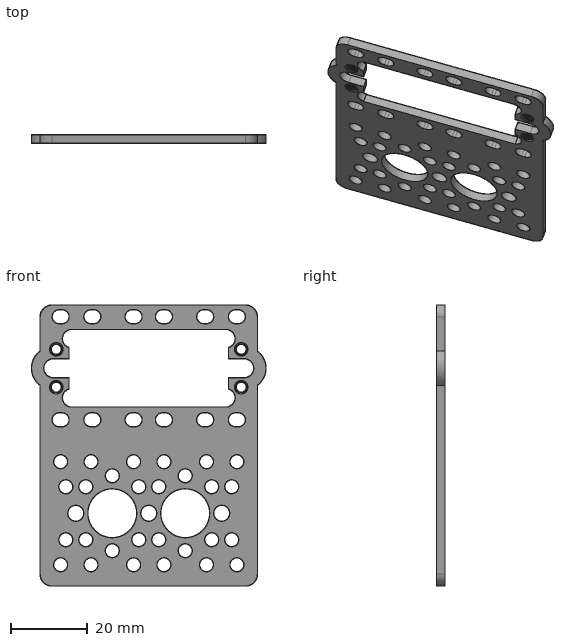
import cadquery as cq
import math

INCH = 25.4

THICKNESS = 0.09 * INCH
PLATE_WIDTH = 56.82
PLATE_HEIGHT = 73.47
CORNER_RADIUS = 0.125 * INCH

OVERALL_WIDTH = 61.3
SERVO_Z = 20.19
WINDOW_WIDTH = 41.64
WINDOW_HEIGHT = 20.18
RELIEF_RADIUS = 3 / 32 * INCH
RELIEF_SPAN = 40.3
NOTCH_SPAN = 54.74
NOTCH_WIDTH = 4.9
EAR_RADIUS = 7 / 32 * INCH

SCREW_X = 24.15
SCREW_OFFSET_Z = 4.95
THREAD_MAJOR = 3.505
THREAD_MINOR = 2.65
THREAD_PITCH = INCH / 32
THREAD_FLANK_ANGLE = math.radians(30)
THREAD_START_ANGLE = 25
THREAD_OVERRUN = 0.5
COUNTERSINK_DEPTH = 0.25

HUB_Z = -17.68
PITCH = 0.75 * INCH
BORE_DIAMETER = 0.5 * INCH
PIVOT_DIAMETER = 4.1
HOLE_DIAMETER = 3.57
BOLT_CIRCLE_RADIUS = 0.385 * INCH

ROW_OFFSET_Z = 13.46
COLUMN_OFFSET = 5 / 32 * INCH
SLOT_LENGTH = 4.38
SLOT_INNER_X = 14.73


def cutter(sketch):
    """Extrude a sketch through the whole thickness."""
    return sketch.extrude(THICKNESS / 2, both=True)


def plane():
    return cq.Workplane("XZ")


def mirrored(values):
    return [side * value for value in values for side in (-1, 1)]


def grid(x_values, z_values):
    return [(x, z) for x in x_values for z in z_values]


def round_holes(points, diameter):
    return cutter(plane().pushPoints(points).circle(diameter / 2))


def make_plate():
    body = cutter(plane().rect(PLATE_WIDTH, PLATE_HEIGHT)).edges("|Y").fillet(CORNER_RADIUS)
    ear_x = OVERALL_WIDTH / 2 - EAR_RADIUS
    ears = round_holes(grid(mirrored([ear_x]), [SERVO_Z]), 2 * EAR_RADIUS)
    return body.union(ears)


def servo_window():
    window = cutter(plane().center(0, SERVO_Z).rect(WINDOW_WIDTH, WINDOW_HEIGHT))
    relief_z = WINDOW_HEIGHT / 2 - RELIEF_RADIUS
    reliefs = round_holes(
        grid(mirrored([RELIEF_SPAN / 2]), [SERVO_Z - relief_z, SERVO_Z + relief_z]),
        2 * RELIEF_RADIUS,
    )
    notches = cutter(plane().center(0, SERVO_Z).slot2D(NOTCH_SPAN, NOTCH_WIDTH))
    return window.union(reliefs).union(notches)


def slot_rows():
    columns = mirrored([COLUMN_OFFSET, SLOT_INNER_X, PITCH + COLUMN_OFFSET])
    points = grid(columns, [SERVO_Z - ROW_OFFSET_Z, SERVO_Z + ROW_OFFSET_Z])
    return cutter(plane().pushPoints(points).slot2D(SLOT_LENGTH, HOLE_DIAMETER))


def hub_holes():
    columns = mirrored([COLUMN_OFFSET, PITCH - COLUMN_OFFSET, PITCH + COLUMN_OFFSET])
    small = grid(columns, [HUB_Z - ROW_OFFSET_Z, HUB_Z + ROW_OFFSET_Z])

    diagonal = BOLT_CIRCLE_RADIUS * math.sqrt(0.5)
    bore_x = PITCH / 2
    bolt_columns = mirrored([bore_x - diagonal, bore_x + diagonal, bore_x + PITCH - diagonal])
    small += grid(bolt_columns, [HUB_Z - diagonal, HUB_Z + diagonal])
    small += grid(mirrored([bore_x]), [HUB_Z - BOLT_CIRCLE_RADIUS, HUB_Z + BOLT_CIRCLE_RADIUS])

    holes = round_holes(small, HOLE_DIAMETER)
    holes = holes.union(round_holes(grid([-PITCH, 0, PITCH], [HUB_Z]), PIVOT_DIAMETER))
    return holes.union(round_holes(grid(mirrored([bore_x]), [HUB_Z]), BORE_DIAMETER))


def polar(radius, angle):
    return radius * math.cos(angle), radius * math.sin(angle)


def thread_core():
    """Solid that leaves a right-hand internal thread when cut, centred on the Z axis.

    A helical groove has the same cross-section at every height, only turned, so the
    section is extruded with a twist of one turn per pitch.
    """
    inner = THREAD_MINOR / 2
    outer = THREAD_MAJOR / 2
    flank_height = (outer - inner) * math.tan(THREAD_FLANK_ANGLE)
    flank_sweep = 2 * math.pi * flank_height / THREAD_PITCH
    steps = [step / 4 for step in range(5)]
    flank = [(inner + (outer - inner) * step, flank_sweep * (1 - step)) for step in steps]
    rising = [polar(radius, -angle) for radius, angle in flank]
    falling = [polar(radius, angle) for radius, angle in reversed(flank)]
    section = (
        cq.Workplane("XY")
        .moveTo(*rising[0])
        .spline(rising[1:], includeCurrent=True)
        .spline(falling[1:], includeCurrent=True)
        .threePointArc((-inner, 0), rising[0])
        .close()
    )
    length = THICKNESS + 2 * THREAD_OVERRUN
    core = section.twistExtrude(length, 360 * length / THREAD_PITCH)
    return core.translate((0, 0, -length / 2))


def countersink():
    """Cone opening one end of a threaded hole from the minor to the major diameter."""
    top = THICKNESS / 2
    bottom = top - COUNTERSINK_DEPTH
    inner = THREAD_MINOR / 2
    outer = THREAD_MAJOR / 2
    half_section = [(0, bottom), (inner, bottom), (outer, top), (outer, 2 * top), (0, 2 * top)]
    return cq.Workplane("XZ").polyline(half_section).close().revolve(360, (0, 0), (0, 1))


def screw_holes():
    """Four threaded holes; the upper pair starts half a turn away from the lower pair."""
    sink = countersink()
    hole = thread_core().union(sink).union(sink.mirror("XY"))
    hole = hole.rotate((0, 0, 0), (1, 0, 0), 90)
    tools = []
    for side, start in ((1, THREAD_START_ANGLE + 180), (-1, THREAD_START_ANGLE)):
        turned = hole.rotate((0, 0, 0), (0, -1, 0), start)
        for x in mirrored([SCREW_X]):
            tools.append(turned.translate((x, 0, SERVO_Z + side * SCREW_OFFSET_Z)))
    return tools


result = make_plate().cut(servo_window()).cut(slot_rows()).cut(hub_holes())
for screw_hole in screw_holes():
    result = result.cut(screw_hole)